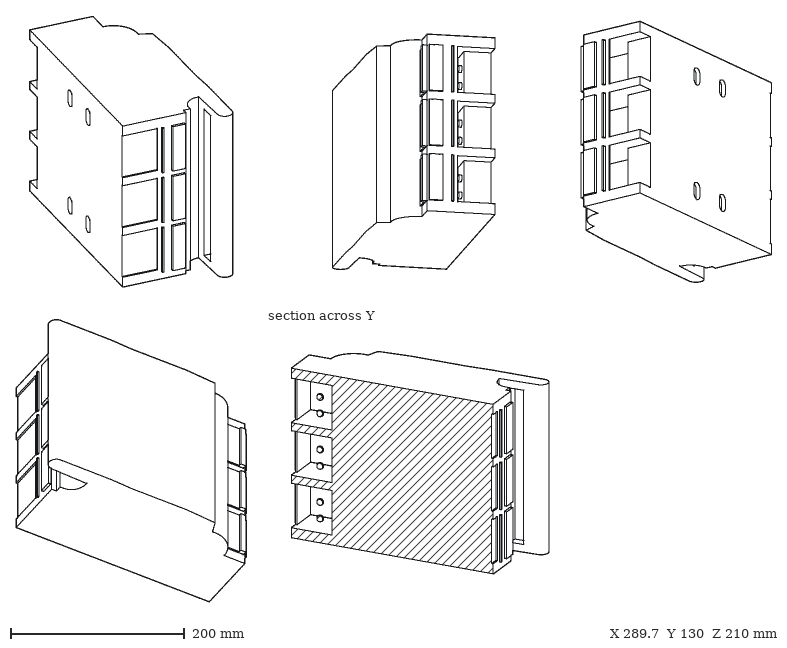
import cadquery as cq
import math

BODY_LENGTH = 210.0
BASE_WIDTH = 259.0
BASE_HEIGHT = 80.0
MID_Z = BODY_LENGTH / 2

SHOULDER_X = 27.8
SHOULDER_RADIUS = 29.5
SHOULDER_TOP = BASE_HEIGHT + SHOULDER_RADIUS
HOUSING_STEP_X = 61.2
HOUSING_TOP_START = (66.7, 125.0)
HOUSING_FLAT_START = (107.2, 128.0)
HOUSING_FLAT_END = (179.7, 128.0)
HANDLE_RISE_END = (208.7, 129.8)
HANDLE_TOP = 130.0
HANDLE_TIP_X = 286.5
HANDLE_ROUND_TOP_X = 277.0
HANDLE_UNDERSIDE_END = (278.5, 111.3)
HANDLE_ROOT = (229.2, 109.3)
GRIP_RADIUS = 18.5
GRIP_FLOOR = 88.5
GRIP_WALL_X = 230.0
LEDGE_X = 252.7

HOLLOW_X = (243.5, 260.3)
HOLLOW_TOP = 121.7
HOLLOW_LENGTH = 190.7

POLE_PITCH = 65.0
POLE_LENGTH = 54.5
POLE_CENTRES = [MID_Z + i * POLE_PITCH for i in (-1, 0, 1)]

PANEL_Y = (62.0, 78.0)
PANEL_RAISE = 3.2
RIB_Y = (49.3, 51.5)
RIGHT_RIB_RAISE = 2.0
RIGHT_POLE_EXTENSION = 3.5

WALL = 2.0
MOUTH_HEIGHT = 44.0
CHAMBER_LENGTH = 54.5
SHELF_X = 20.5
SHELF_Y = 32.0
CHAMBER_DEPTH = 52.2
SCREW_RADIUS = 4.0
SCREW_HEIGHT = 3.5
SCREW_OFFSET = 10.0

COVER_INSET = 1.7
COVER_LENGTH = 55.0
COVER_THICKNESS = 2.0
COVER_LIP_HEIGHT = 5.2
COVER_LIP_END = 8.7

SLOT_WIDTH = 11.3
SLOT_LENGTH = 20.5
SLOT_DEPTH = 5.2
SLOT_X = (112.2, 162.3)
SLOT_Z_INSET = 35.0


def block(x_range, y_range, z_centre, z_length):
    """Box spanning the given X and Y ranges, centred on z_centre."""
    width = x_range[1] - x_range[0]
    height = y_range[1] - y_range[0]
    corner = (x_range[0], y_range[0], z_centre - z_length / 2)
    return cq.Workplane("XY").box(width, height, z_length, centered=False).translate(corner)


def make_body():
    """Extruded side profile of the base, housing and handle."""
    diagonal = math.sin(math.pi / 4)
    shoulder_end_x = SHOULDER_X + SHOULDER_RADIUS
    shoulder_mid = (
        shoulder_end_x - SHOULDER_RADIUS * diagonal,
        BASE_HEIGHT + SHOULDER_RADIUS * diagonal,
    )
    grip_centre = (GRIP_WALL_X + GRIP_RADIUS, GRIP_FLOOR + GRIP_RADIUS)
    grip_mid = tuple(c - GRIP_RADIUS * diagonal for c in grip_centre)
    tip_y = (HANDLE_TOP + HANDLE_UNDERSIDE_END[1]) / 2
    return (
        cq.Workplane("XY")
        .moveTo(0, 0)
        .lineTo(0, BASE_HEIGHT)
        .lineTo(SHOULDER_X, BASE_HEIGHT)
        .threePointArc(shoulder_mid, (shoulder_end_x, SHOULDER_TOP))
        .lineTo(HOUSING_STEP_X, SHOULDER_TOP)
        .lineTo(*HOUSING_TOP_START)
        .lineTo(*HOUSING_FLAT_START)
        .lineTo(*HOUSING_FLAT_END)
        .lineTo(*HANDLE_RISE_END)
        .lineTo(HANDLE_ROUND_TOP_X, HANDLE_TOP)
        .threePointArc((HANDLE_TIP_X, tip_y), HANDLE_UNDERSIDE_END)
        .lineTo(*HANDLE_ROOT)
        .lineTo(GRIP_WALL_X, grip_centre[1])
        .threePointArc(grip_mid, (grip_centre[0], GRIP_FLOOR))
        .lineTo(LEDGE_X, GRIP_FLOOR)
        .lineTo(LEDGE_X, BASE_HEIGHT)
        .lineTo(BASE_WIDTH, BASE_HEIGHT)
        .lineTo(BASE_WIDTH, 0)
        .close()
        .extrude(BODY_LENGTH)
    )


def handle_hollow():
    """Pocket in the handle underside, opening into the finger gap."""
    return block(HOLLOW_X, (GRIP_FLOOR + GRIP_RADIUS, HOLLOW_TOP), MID_Z, HOLLOW_LENGTH)


def mounting_slots():
    """Blind obround slots sunk into the base face."""
    centres = [(x, z) for x in SLOT_X for z in (SLOT_Z_INSET, BODY_LENGTH - SLOT_Z_INSET)]
    return (
        cq.Workplane("XZ")
        .pushPoints(centres)
        .slot2D(SLOT_LENGTH, SLOT_WIDTH, 90)
        .extrude(-SLOT_DEPTH)
    )


def terminal_chamber(z):
    """Open-bottomed terminal space with an inner shelf carrying two screw heads."""
    mouth = block((0, SHELF_X), (0, MOUTH_HEIGHT), z, CHAMBER_LENGTH)
    upper = block((WALL, CHAMBER_DEPTH), (SHELF_Y, BASE_HEIGHT), z, CHAMBER_LENGTH)
    screw_x = (SHELF_X + CHAMBER_DEPTH) / 2
    screws = (
        cq.Workplane("XZ", origin=(0, SHELF_Y, 0))
        .pushPoints([(screw_x, z - SCREW_OFFSET), (screw_x, z + SCREW_OFFSET)])
        .circle(SCREW_RADIUS)
        .extrude(-SCREW_HEIGHT)
    )
    return mouth.union(upper).cut(screws)


def right_recess(z):
    """Shallow recess at the foot of the right end wall."""
    return block((BASE_WIDTH - WALL, BASE_WIDTH), (0, MOUTH_HEIGHT), z, CHAMBER_LENGTH)


def terminal_cover(z):
    """Thin plate with a raised lip along its outer edge."""
    plate_x = (COVER_INSET, SHOULDER_X + WALL)
    plate = block(plate_x, (BASE_HEIGHT, BASE_HEIGHT + COVER_THICKNESS), z, COVER_LENGTH)
    lip_x = (COVER_INSET, COVER_LIP_END)
    lip = block(lip_x, (BASE_HEIGHT, BASE_HEIGHT + COVER_LIP_HEIGHT), z, COVER_LENGTH)
    return plate.union(lip)


def end_wall_trim(z):
    """Panels and ribs of one pole; those on the right reach further down in Z."""
    left_x = (-PANEL_RAISE, 0)
    right_length = POLE_LENGTH + RIGHT_POLE_EXTENSION
    right_z = z - RIGHT_POLE_EXTENSION / 2
    return [
        block(left_x, PANEL_Y, z, POLE_LENGTH),
        block(left_x, RIB_Y, z, POLE_LENGTH),
        block((BASE_WIDTH, BASE_WIDTH + PANEL_RAISE), PANEL_Y, right_z, right_length),
        block((BASE_WIDTH, BASE_WIDTH + RIGHT_RIB_RAISE), RIB_Y, right_z, right_length),
    ]


result = make_body().cut(handle_hollow()).cut(mounting_slots())
for pole_z in POLE_CENTRES:
    result = result.cut(terminal_chamber(pole_z)).cut(right_recess(pole_z))
    result = result.union(terminal_cover(pole_z))
    for trim in end_wall_trim(pole_z):
        result = result.union(trim)